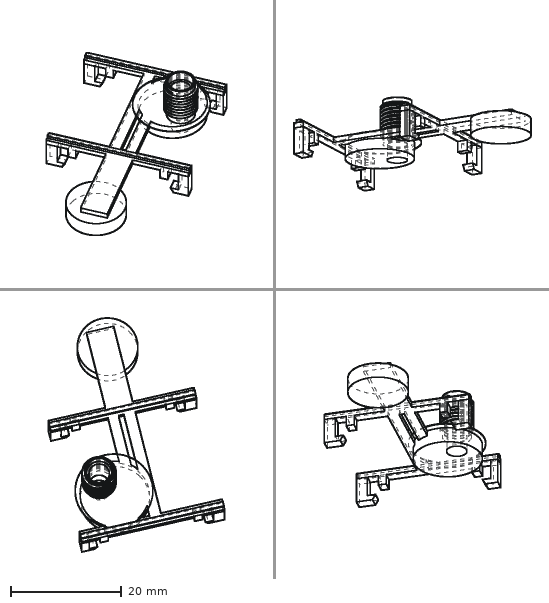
import cadquery as cq

PLATE_THICKNESS = 1.0

NEAR_BAR_LENGTH = 27.2
FAR_BAR_LENGTH = 26.67
BAR_WIDTH = 2.0
BAR_PITCH = 22.0
FAR_BAR_BACK_Y = 20.55
FAR_BAR_Y = FAR_BAR_BACK_Y - BAR_WIDTH / 2
NEAR_BAR_Y = FAR_BAR_Y - BAR_PITCH
BAR_LEFT_X = -NEAR_BAR_LENGTH / 2
NEAR_BAR_RIGHT_X = BAR_LEFT_X + NEAR_BAR_LENGTH
FAR_BAR_RIGHT_X = BAR_LEFT_X + FAR_BAR_LENGTH

RAIL_WIDTH = 0.82
RAIL_HEIGHT = 0.5
FAR_RAIL_OFFSET = 0.06
FAR_RAIL_Y = FAR_BAR_Y + FAR_RAIL_OFFSET

SPINE_LEFT_X = -2.18
SPINE_WIDTH = 5.1
SPINE_FRONT_Y = -18.25
LEFT_ARM_WIDTH = 2.15
SLOT_WIDTH = 1.0
RIGHT_ARM_X = SPINE_LEFT_X + LEFT_ARM_WIDTH + SLOT_WIDTH
RIGHT_ARM_WIDTH = SPINE_WIDTH - LEFT_ARM_WIDTH - SLOT_WIDTH

CLIP_CENTRE_X = 0.1
LEG_HEIGHT = 4.9
LEG_INNER = 11.6
HOOK_HEIGHT = 1.03
HOOK_TIP = 10.05
HOOK_FOOT = 10.65
STOP_INNER = 8.05
STOP_WIDTH = 1.5
STOP_HEIGHT = 1.97

HOLDER_DIAMETER = 12.6
HOLDER_DEPTH = 1.97
HOLDER_X = 5.15
HOLDER_Y = 13.03
LID_DIAMETER = 14.15
LID_THICKNESS = 0.12
LID_Y = 12.45

PAD_DIAMETER = 11.0
PAD_HEIGHT = 3.0
PAD_X = -0.25
PAD_Y = -15.05

CONNECTOR_OFFSET = 2.35
CONNECTOR_X = HOLDER_X + CONNECTOR_OFFSET
CONNECTOR_Y = HOLDER_Y - CONNECTOR_OFFSET
CONNECTOR_BASE_Z = PLATE_THICKNESS + LID_THICKNESS
CONNECTOR_HEIGHT = 8.1
BARREL_DIAMETER = 5.3
BORE_DIAMETER = 3.7
SOCKET_DIAMETER = 4.7
SOCKET_DEPTH = 1.8
THREAD_DIAMETER = 6.25
THREAD_PITCH = 0.7
THREAD_BOTTOM = 1.2
THREAD_TOP = 7.27
THREAD_END_CHAMFER = 0.4
THREAD_ROOT_WIDTH = 0.6
THREAD_CREST_WIDTH = 0.06
THREAD_EMBED = 0.1


def block(left, right, y_centre, width, bottom, height):
    """Box between two X positions, centred on y_centre."""
    corner = (left, y_centre - width / 2, bottom)
    return cq.Workplane("XY").box(right - left, width, height, centered=False).translate(corner)


def disc(x, y, diameter, bottom, height):
    """Upright cylinder."""
    return cq.Workplane("XY", origin=(x, y, bottom)).circle(diameter / 2).extrude(height)


def make_bore():
    """Cutter for the hole that runs through the holder and the lid."""
    return disc(CONNECTOR_X, CONNECTOR_Y, BORE_DIAMETER, -HOLDER_DEPTH, HOLDER_DEPTH + CONNECTOR_BASE_Z)


def strip(left, width, front, back):
    """Flat strip of the frame that runs along Y."""
    return block(left, left + width, (front + back) / 2, back - front, 0, PLATE_THICKNESS)


def make_frame():
    """Plate with two bars and a slotted spine, the round holder and four stops."""
    frame = block(BAR_LEFT_X, NEAR_BAR_RIGHT_X, NEAR_BAR_Y, BAR_WIDTH, 0, PLATE_THICKNESS)
    frame = frame.union(block(BAR_LEFT_X, FAR_BAR_RIGHT_X, FAR_BAR_Y, BAR_WIDTH, 0, PLATE_THICKNESS))

    frame = frame.union(strip(SPINE_LEFT_X, SPINE_WIDTH, SPINE_FRONT_Y, NEAR_BAR_Y))
    frame = frame.union(strip(SPINE_LEFT_X, LEFT_ARM_WIDTH, NEAR_BAR_Y, FAR_BAR_Y))
    frame = frame.union(strip(RIGHT_ARM_X, RIGHT_ARM_WIDTH, NEAR_BAR_Y, HOLDER_Y))

    holder_height = HOLDER_DEPTH + PLATE_THICKNESS
    frame = frame.union(disc(HOLDER_X, HOLDER_Y, HOLDER_DIAMETER, -HOLDER_DEPTH, holder_height))

    left_stop_x = CLIP_CENTRE_X - STOP_INNER - STOP_WIDTH
    right_stop_x = CLIP_CENTRE_X + STOP_INNER
    for bar_y in (NEAR_BAR_Y, FAR_BAR_Y):
        for stop_x in (left_stop_x, right_stop_x):
            stop = block(stop_x, stop_x + STOP_WIDTH, bar_y, BAR_WIDTH, -STOP_HEIGHT, STOP_HEIGHT)
            frame = frame.union(stop)
    return frame.cut(make_bore())


def make_rail(right, y_centre):
    """Narrow strip along the top of a bar."""
    return block(BAR_LEFT_X, right, y_centre, RAIL_WIDTH, PLATE_THICKNESS, RAIL_HEIGHT)


def make_leg(outer_x, bar_y, side):
    """Leg under a bar end with an inward hook; side is -1 for left and +1 for right."""
    inner_x = CLIP_CENTRE_X + side * LEG_INNER
    tip_x = CLIP_CENTRE_X + side * HOOK_TIP
    foot_x = CLIP_CENTRE_X + side * HOOK_FOOT
    outline = [
        (outer_x, 0),
        (outer_x, -LEG_HEIGHT),
        (foot_x, -LEG_HEIGHT),
        (tip_x, HOOK_HEIGHT - LEG_HEIGHT),
        (inner_x, HOOK_HEIGHT - LEG_HEIGHT),
        (inner_x, 0),
    ]
    back_plane = cq.Workplane("XZ", origin=(0, bar_y + BAR_WIDTH / 2, 0))
    return back_plane.polyline(outline).close().extrude(BAR_WIDTH)


def make_lid():
    """Thin disc on the holder, trimmed straight where it meets the far rail."""
    lid = disc(HOLDER_X, LID_Y, LID_DIAMETER, PLATE_THICKNESS, LID_THICKNESS)
    far_rail = make_rail(FAR_BAR_RIGHT_X, FAR_RAIL_Y)
    behind_rail = far_rail.translate((0, RAIL_WIDTH, 0))
    return lid.cut(far_rail).cut(behind_rail).cut(make_bore())


def make_thread():
    """Right-handed helical ridge with a V section, its ends trimmed by a chamfered cylinder."""
    root_radius = BARREL_DIAMETER / 2 - THREAD_EMBED
    crest_radius = THREAD_DIAMETER / 2
    thread_length = THREAD_TOP - THREAD_BOTTOM
    helix = cq.Wire.makeHelix(THREAD_PITCH, thread_length, root_radius)
    section = [
        (root_radius, -THREAD_ROOT_WIDTH / 2),
        (crest_radius, -THREAD_CREST_WIDTH / 2),
        (crest_radius, THREAD_CREST_WIDTH / 2),
        (root_radius, THREAD_ROOT_WIDTH / 2),
    ]
    ridge = cq.Workplane("XZ").polyline(section).close().sweep(cq.Workplane(helix), isFrenet=True)
    envelope = disc(0, 0, THREAD_DIAMETER + THREAD_EMBED, 0, thread_length)
    envelope = envelope.edges().chamfer(THREAD_END_CHAMFER)
    return ridge.intersect(envelope)


def make_connector():
    """Hollow barrel with an external thread and a wider socket at the top."""
    connector = disc(0, 0, BARREL_DIAMETER, 0, CONNECTOR_HEIGHT)
    connector = connector.union(make_thread().translate((0, 0, THREAD_BOTTOM)))
    connector = connector.cut(disc(0, 0, BORE_DIAMETER, 0, CONNECTOR_HEIGHT))
    connector = connector.cut(disc(0, 0, SOCKET_DIAMETER, CONNECTOR_HEIGHT - SOCKET_DEPTH, SOCKET_DEPTH))
    return connector.translate((CONNECTOR_X, CONNECTOR_Y, CONNECTOR_BASE_Z))


frame = make_frame()
rails = [make_rail(NEAR_BAR_RIGHT_X, NEAR_BAR_Y), make_rail(FAR_BAR_RIGHT_X, FAR_RAIL_Y)]
legs = []
for bar_right_x, bar_y in ((NEAR_BAR_RIGHT_X, NEAR_BAR_Y), (FAR_BAR_RIGHT_X, FAR_BAR_Y)):
    legs.append(make_leg(BAR_LEFT_X, bar_y, -1))
    legs.append(make_leg(bar_right_x, bar_y, 1))
lid = make_lid()
pad = disc(PAD_X, PAD_Y, PAD_DIAMETER, -PAD_HEIGHT, PAD_HEIGHT)
connector = make_connector()

result = cq.Compound.makeCompound(
    [
        frame.val(),
        *[rail.val() for rail in rails],
        *[leg.val() for leg in legs],
        lid.val(),
        pad.val(),
        connector.val(),
    ]
)